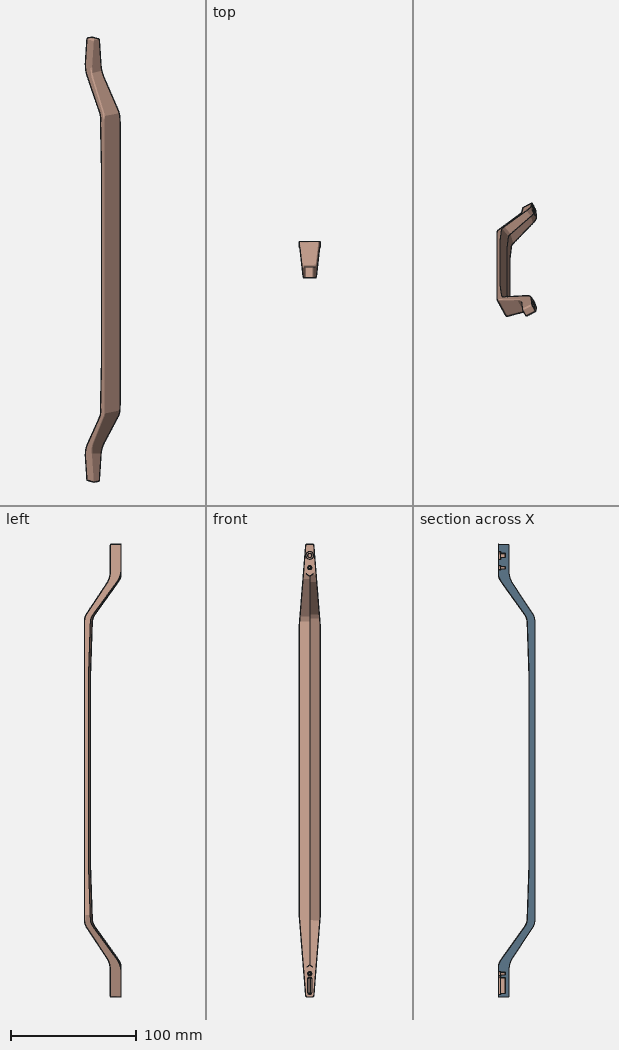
import cadquery as cq
import math

half_length = 180.0
half_width = 8.45
total_depth = 29.0

ridge_depth_middle = 5.0
ridge_depth_bend = 6.5
thickening_start_z = 79.2
front_bend_z = 121.5
back_bend_z = 122.0
pad_bend_z = 153.0
ridge_runout_z = 162.0
ridge_runout_rise = 1.5
pad_thickness = 8.5
bar_bend_radius = 10.8
pad_bend_radius = 18.0
ridge_slope = 0.2
back_edge_radius = 1.0

taper_start_z = 115.0
tip_half_width = 3.2
tip_radius = 1.5

step_depth = 1.8
bore_depth = 5.5
small_hole_z = 161.3
small_hole_diameter = 3.2
small_bore_diameter = 1.8
large_hole_z = 171.0
large_hole_diameter = 6.0
large_bore_diameter = 3.2
slot_inner_z = 163.8
slot_outer_z = 178.0
slot_width = 3.2
slot_bore_width = 1.5

clearance = 3.5


def mirrored(upper):
    """Complete a list of upward (y, z, radius) corners with its mirror image below z = 0."""
    return [(y, -z, radius) for y, z, radius in reversed(upper)] + upper


def closed_profile(corners, far_y):
    """Wire in the YZ plane through the corners, rounded by their radii and closed along far_y."""
    path = cq.Workplane("YZ").moveTo(far_y, corners[0][1]).lineTo(*corners[0][:2])
    for previous, current, following in zip(corners, corners[1:], corners[2:]):
        corner = cq.Vector(*current[:2])
        before = (cq.Vector(*previous[:2]) - corner).normalized()
        after = (cq.Vector(*following[:2]) - corner).normalized()
        radius = current[2]
        if radius == 0:
            path = path.lineTo(corner.x, corner.y)
            continue
        setback = radius / math.tan(before.getAngle(after) / 2)
        entry = corner + before * setback
        leave = corner + after * setback
        path = path.lineTo(entry.x, entry.y).tangentArcPoint((leave.x, leave.y), relative=False)
    path = path.lineTo(*corners[-1][:2]).lineTo(far_y, corners[-1][1])
    return path.close().wire().val()


def oblique_prism(wire, x_reach, slope):
    """Extrude a YZ wire sideways by x_reach while it slides back by slope per unit of width."""
    return cq.Workplane(cq.Solid.extrudeLinear(wire, [], cq.Vector(x_reach, slope * abs(x_reach), 0)))


def front_ridge_body():
    """Everything behind the two facets that meet in the front ridge."""
    corners = mirrored([
        (-ridge_depth_middle, thickening_start_z, 0),
        (-ridge_depth_bend, front_bend_z, bar_bend_radius),
        (-total_depth, pad_bend_z, pad_bend_radius),
        (-total_depth - ridge_runout_rise, ridge_runout_z, 0),
        (-total_depth - ridge_runout_rise, half_length, 0),
    ])
    wire = closed_profile(corners, clearance)
    reach = half_width + clearance
    return oblique_prism(wire, reach, ridge_slope).union(oblique_prism(wire, -reach, ridge_slope))


def back_body():
    """Everything in front of the bent back surface and behind the flat pad fronts."""
    pad_back = pad_thickness - total_depth
    corners = mirrored([
        (0, back_bend_z, bar_bend_radius),
        (pad_back, pad_bend_z, pad_bend_radius),
        (pad_back, half_length, 0),
    ])
    wire = closed_profile(corners, -total_depth)
    return oblique_prism(wire, half_width, 0).union(oblique_prism(wire, -half_width, 0))


def front_outline():
    """Bar that narrows towards both rounded tips, as a prism along y."""
    right_side = [
        (tip_half_width, -half_length),
        (half_width, -taper_start_z),
        (half_width, taper_start_z),
        (tip_half_width, half_length),
    ]
    left_side = [(-x, z) for x, z in reversed(right_side)]
    prism = cq.Workplane("XZ").polyline(right_side + left_side).close().extrude(total_depth)
    return prism.edges("|Y").edges("<Z or >Z").fillet(tip_radius)


def pad_front(z):
    """Sketch plane on the flat front of a pad, centred at height z."""
    return cq.Workplane("XZ", origin=(0, -total_depth, z))


def stepped_hole(z, diameter, bore_diameter):
    step = pad_front(z).circle(diameter / 2).extrude(-step_depth)
    bore = pad_front(z).circle(bore_diameter / 2).extrude(-bore_depth)
    return step.union(bore)


def stepped_slot():
    """Upright slot in the lower pad with a narrower, deeper slot along its middle."""
    z = -(slot_inner_z + slot_outer_z) / 2
    length = slot_outer_z - slot_inner_z
    bore_length = length - slot_width + slot_bore_width
    step = pad_front(z).slot2D(length, slot_width, 90).extrude(-step_depth)
    bore = pad_front(z).slot2D(bore_length, slot_bore_width, 90).extrude(-bore_depth)
    return step.union(bore)


blank = front_outline().intersect(back_body())
blank = blank.edges("not(|X or |Y or <Y)").edges("not(<Z or >Z)").fillet(back_edge_radius)

body = blank.intersect(front_ridge_body())
for hole_z in (small_hole_z, -small_hole_z):
    body = body.cut(stepped_hole(hole_z, small_hole_diameter, small_bore_diameter))
body = body.cut(stepped_hole(large_hole_z, large_hole_diameter, large_bore_diameter))
result = body.cut(stepped_slot())